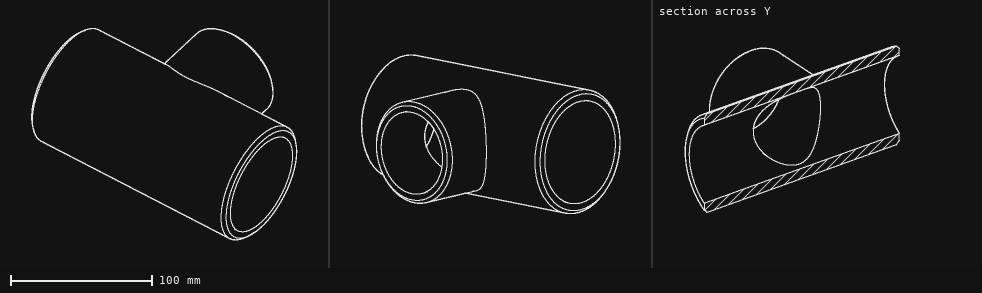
import cadquery as cq

run_length = 171.7
run_diameter = 89.0
run_wall = 7.5
branch_diameter = 73.1
branch_wall = 7.0
overall_depth = 127.0
end_chamfer = 2.5

branch_reach = overall_depth - run_diameter / 2


def run_cylinder(diameter):
    """Cylinder along X, centred on the origin."""
    return cq.Workplane("YZ").circle(diameter / 2).extrude(run_length / 2, both=True)


def branch_cylinder(diameter):
    """Cylinder from the run axis out to the branch end."""
    return cq.Workplane("XZ").circle(diameter / 2).extrude(-branch_reach)


run_body = run_cylinder(run_diameter).faces("<X or >X").chamfer(end_chamfer)
branch_body = branch_cylinder(branch_diameter).faces(">Y").chamfer(end_chamfer)

run_bore = run_cylinder(run_diameter - 2 * run_wall)
branch_bore = branch_cylinder(branch_diameter - 2 * branch_wall)

result = run_body.union(branch_body).cut(run_bore).cut(branch_bore)